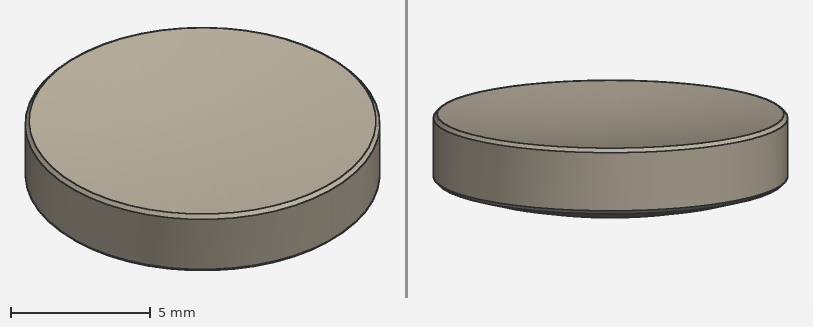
import cadquery as cq

diameter = 12.7
total_height = 3.39
chamfer = 0.14
convex_depth = 0.99
concave_depth = 0.41

rim_radius = diameter / 2
face_radius = rim_radius - chamfer
rim_bottom = convex_depth
mid_radius = face_radius / 2


def cap_drop(depth, radius):
    """Distance from a spherical cap's apex plane to its surface at the given radius."""
    sphere_radius = (face_radius**2 + depth**2) / (2 * depth)
    return sphere_radius - (sphere_radius**2 - radius**2) ** 0.5


dish_bottom = total_height - concave_depth

half_section = (
    cq.Workplane("YZ")
    .moveTo(0, 0)
    .threePointArc((-mid_radius, cap_drop(convex_depth, mid_radius)), (-face_radius, rim_bottom))
    .lineTo(-rim_radius, rim_bottom + chamfer)
    .lineTo(-rim_radius, total_height - chamfer)
    .lineTo(-face_radius, total_height)
    .threePointArc((-mid_radius, dish_bottom + cap_drop(concave_depth, mid_radius)), (0, dish_bottom))
    .close()
)

result = half_section.revolve(360, (0, 0), (0, 1))